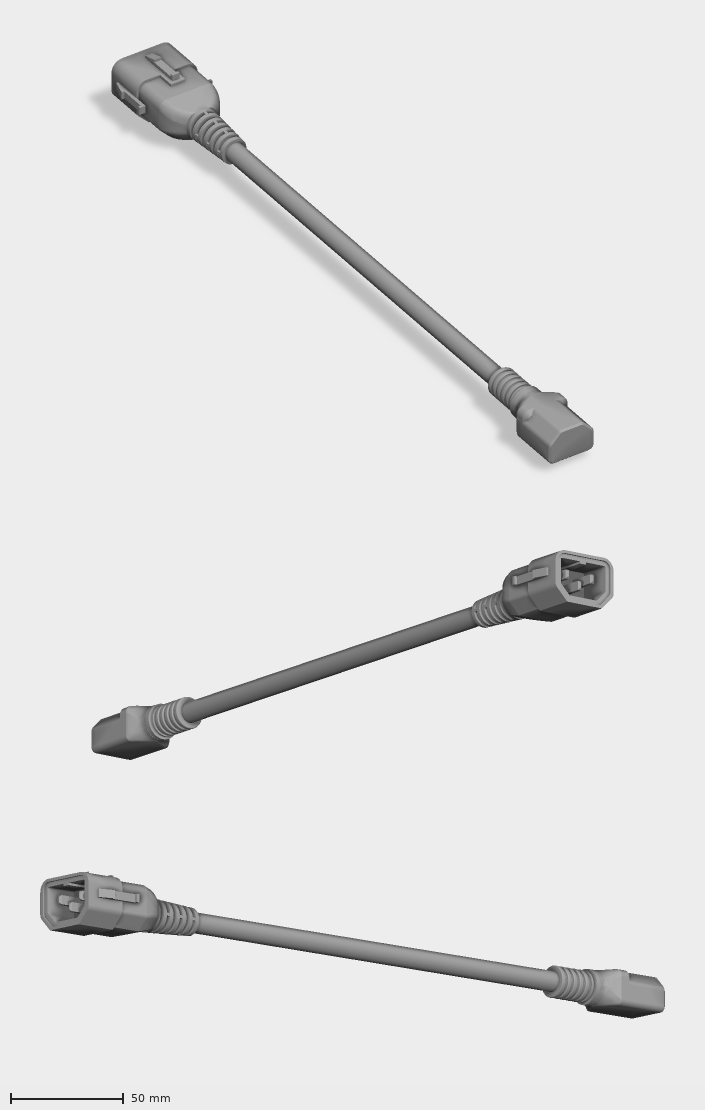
import cadquery as cq
import math

total_length = 345.0

cable_radius = 9.3 / 2

collar_length = 20.0
collar_half_width = 16.2
collar_half_height = 11.7
collar_top_radius = 5.5
collar_bottom_chamfer = 6.5
collar_bottom_radius = 3.5
body_inset = 1.5
body_end = 36.0
inlet_taper_end = 48.0
taper_steps = 4
inlet_neck_half_width = 8.0
inlet_neck_half_height = 7.2
inlet_neck_top_radius = 5.0
inlet_neck_bottom_chamfer = 5.0

tongue_end = 29.0
tongue_half_width = 3.8

cavity_half_width = 12.5
cavity_half_height = 8.3
cavity_corner_radius = 0.7
cavity_chamfer = 5.0
cavity_chamfer_radius = 1.0
cavity_depth = 16.5
mouth_margin = 2.0
mouth_depth = 1.0
mouth_corner_radius = 3.5
mouth_chamfer = 6.0
mouth_chamfer_radius = 2.8
key_half_width = 1.7
key_height = 1.0

pin_width = 2.0
pin_height = 4.0
pin_tip_x = 2.8
pin_tip_bevel = 0.85
side_pin_y = 7.0
side_pin_z = 2.0
earth_pin_z = -2.0

latch_start = 5.2
latch_peak = 12.8
latch_end = 27.3
latch_heel_length = 1.5
latch_rise = 3.0
latch_strip_rise = 1.7
latch_toe_rise = 1.0
latch_width = 3.8
side_latch_z = 2.0

relief_start_radius = 8.0
relief_end_radius = 12.8 / 2
relief_collar_length = 2.0
groove_count = 6
groove_width = 2.0
groove_pitch = 2 * groove_width
groove_root_radius = 5.2
web_half_width = 0.7
inlet_relief_end = inlet_taper_end + relief_collar_length + groove_count * groove_pitch

outlet_relief_start = 288.0
rib_count = 5
rib_pitch = 3.5
rib_width = 2.0
end_rib_width = 1.0
rib_radius = 7.2
rib_root_radius = relief_end_radius
rib_rounding = 0.5
flange_start = 307.5
flange_radius = 16.2 / 2
waist_radius = 8.0
flare_start = 310.0
flare_waist_length = 2.8
head_start = 318.8
head_half_width = 23.8 / 2
head_half_height = 8.3
head_top_radius = 3.8
head_bottom_radius = 2.5
bevel_start = 323.3
bevel_run_out = 2.0
bevel_size = 6.0
bevel_rounding = 2.8
nose_chamfer = 0.85


def box_between(x_range, y_range, z_range):
    """Axis-aligned box given by its lower and upper limits."""
    size = [high - low for low, high in (x_range, y_range, z_range)]
    return cq.Workplane("XY").box(*size, centered=False).translate((x_range[0], y_range[0], z_range[0]))


def cylinder(start, end, radius):
    """Round bar along the cord axis."""
    return cq.Workplane("YZ", origin=(start, 0, 0)).circle(radius).extrude(end - start)


def shield_outline(x, half_width, half_height, top_radius, chamfer, chamfer_radius):
    """Closed wire at x: rounded top corners, and chamfered bottom corners whose upper bend is rounded."""
    diagonal = math.sqrt(0.5)
    bend = chamfer_radius * math.tan(math.pi / 8)
    bend_centre_y = half_width - chamfer_radius
    bend_y = half_width - bend * diagonal
    bend_top_z = -half_height + chamfer + bend
    bend_low_z = -half_height + chamfer - bend * diagonal
    bend_mid = (
        bend_centre_y + chamfer_radius * math.cos(math.pi / 8),
        bend_top_z - chamfer_radius * math.sin(math.pi / 8),
    )
    flat = half_width - chamfer
    shoulder = half_width - top_radius
    top_arc_y = shoulder + top_radius * diagonal
    top_arc_z = half_height - top_radius + top_radius * diagonal
    return (
        cq.Workplane("YZ", origin=(x, 0, 0))
        .moveTo(-flat, -half_height)
        .lineTo(flat, -half_height)
        .lineTo(bend_y, bend_low_z)
        .threePointArc(bend_mid, (half_width, bend_top_z))
        .lineTo(half_width, half_height - top_radius)
        .threePointArc((top_arc_y, top_arc_z), (shoulder, half_height))
        .lineTo(-shoulder, half_height)
        .threePointArc((-top_arc_y, top_arc_z), (-half_width, half_height - top_radius))
        .lineTo(-half_width, bend_top_z)
        .threePointArc((-bend_mid[0], bend_mid[1]), (-bend_y, bend_low_z))
        .close()
        .wire()
        .val()
    )


def rounded_outline(x, half_width, half_height, top_radius, bottom_radius):
    """Closed wire at x: rectangle with rounded corners."""
    top_run = top_radius * (1 - math.sqrt(0.5))
    bottom_run = bottom_radius * (1 - math.sqrt(0.5))
    w, h = half_width, half_height
    return (
        cq.Workplane("YZ", origin=(x, 0, 0))
        .moveTo(bottom_radius - w, -h)
        .lineTo(w - bottom_radius, -h)
        .threePointArc((w - bottom_run, bottom_run - h), (w, bottom_radius - h))
        .lineTo(w, h - top_radius)
        .threePointArc((w - top_run, h - top_run), (w - top_radius, h))
        .lineTo(top_radius - w, h)
        .threePointArc((top_run - w, h - top_run), (-w, h - top_radius))
        .lineTo(-w, bottom_radius - h)
        .threePointArc((bottom_run - w, bottom_run - h), (bottom_radius - w, -h))
        .close()
        .wire()
        .val()
    )


def prism(outline, length):
    """Solid made by sweeping a closed wire along +X."""
    return cq.Workplane(cq.Solid.extrudeLinear(outline, [], cq.Vector(length, 0, 0)))


def loft(outlines):
    """Smooth solid through a row of closed wires."""
    return cq.Workplane(cq.Solid.makeLoft(outlines))


def inlet_taper_outline(body_shape, fraction):
    """Outline at a fraction of the taper: the sides narrow along an arc, everything else evenly."""
    half_width, *other_sizes = body_shape
    length = inlet_taper_end - body_end
    drop = half_width - inlet_neck_half_width
    arc_radius = (length**2 + drop**2) / (2 * drop)
    travel = fraction * length
    arc_drop = arc_radius - math.sqrt(arc_radius**2 - travel**2)
    neck_sizes = (
        inlet_neck_half_height, inlet_neck_top_radius, inlet_neck_bottom_chamfer, body_shape[-1]
    )
    sizes = [body + fraction * (neck - body) for body, neck in zip(other_sizes, neck_sizes)]
    return shield_outline(body_end + travel, half_width - arc_drop, *sizes)


def inlet_shell():
    """Collar with its rear tongue, the inset body behind it and the taper down to the neck."""
    collar = prism(
        shield_outline(0, collar_half_width, collar_half_height, collar_top_radius,
                       collar_bottom_chamfer, collar_bottom_radius),
        collar_length,
    )
    inset_bend = body_inset * math.tan(math.pi / 8)
    body_shape = (
        collar_half_width - body_inset,
        collar_half_height - body_inset,
        collar_top_radius - body_inset,
        collar_bottom_chamfer - body_inset + inset_bend,
        collar_bottom_radius - body_inset,
    )
    body = prism(shield_outline(collar_length, *body_shape), body_end - collar_length)
    sections = [
        inlet_taper_outline(body_shape, step / taper_steps) for step in range(taper_steps + 1)
    ]
    taper = loft(sections)
    tongue = box_between(
        (collar_length, tongue_end),
        (-tongue_half_width, tongue_half_width),
        (0, collar_half_height),
    )
    return collar.union(body).union(taper).union(tongue)


def inlet_cavity():
    """Contact cavity with a shallow wider mouth and a key along its top wall."""
    cavity = prism(
        shield_outline(0, cavity_half_width, cavity_half_height, cavity_corner_radius,
                       cavity_chamfer, cavity_chamfer_radius),
        cavity_depth,
    )
    mouth = prism(
        shield_outline(0, cavity_half_width + mouth_margin, cavity_half_height + mouth_margin,
                       mouth_corner_radius, mouth_chamfer, mouth_chamfer_radius),
        mouth_depth,
    )
    key = box_between(
        (mouth_depth, cavity_depth),
        (-key_half_width, key_half_width),
        (cavity_half_height - key_height, cavity_half_height),
    )
    return cavity.union(mouth).cut(key)


def contact_pin(y, z):
    """Flat blade standing on the cavity floor, with a bevelled tip."""
    pin = box_between(
        (pin_tip_x, cavity_depth),
        (y - pin_width / 2, y + pin_width / 2),
        (z - pin_height / 2, z + pin_height / 2),
    )
    return pin.faces("<X").chamfer(pin_tip_bevel)


def latch(surface):
    """Spring latch lying on a wall at height `surface`: ramp, step down to a strip, raised heel."""
    return (
        cq.Workplane("XZ")
        .moveTo(latch_start, surface)
        .lineTo(latch_start, surface + latch_toe_rise)
        .lineTo(latch_peak, surface + latch_rise)
        .lineTo(latch_peak, surface + latch_strip_rise)
        .lineTo(latch_end - latch_heel_length, surface + latch_strip_rise)
        .lineTo(latch_end - latch_heel_length, surface + latch_rise)
        .lineTo(latch_end, surface + latch_rise)
        .lineTo(latch_end, surface)
        .close()
        .extrude(latch_width / 2, both=True)
    )


def inlet_strain_relief():
    """Tapered sleeve with grooves that leave a pair of webs, alternately top and bottom or at the sides."""
    start, end = inlet_taper_end, inlet_relief_end
    sleeve = (
        cq.Workplane("XZ")
        .polyline([(start, 0), (start, relief_start_radius), (end, relief_end_radius), (end, 0)])
        .close()
        .revolve(360, (0, 0, 0), (1, 0, 0))
    )
    reach = 2 * relief_start_radius
    for index in range(groove_count):
        groove_start = inlet_taper_end + relief_collar_length + index * groove_pitch
        groove_end = groove_start + groove_width
        ring = cylinder(groove_start, groove_end, reach).cut(
            cylinder(groove_start, groove_end, groove_root_radius)
        )
        across = (-web_half_width, web_half_width)
        along = (-reach, reach)
        web_y, web_z = (across, along) if index % 2 == 0 else (along, across)
        sleeve = sleeve.cut(ring.cut(box_between((groove_start, groove_end), web_y, web_z)))
    return sleeve


def make_inlet_plug():
    plug = inlet_shell().cut(inlet_cavity())
    for y, z in ((-side_pin_y, side_pin_z), (side_pin_y, side_pin_z), (0, earth_pin_z)):
        plug = plug.union(contact_pin(y, z))
    plug = plug.union(latch(collar_half_height))
    for turn in (-90, 90):
        side_latch = latch(collar_half_width).rotate((0, 0, 0), (1, 0, 0), turn)
        plug = plug.union(side_latch.translate((0, 0, side_latch_z)))
    return plug.union(inlet_strain_relief())


def make_cable():
    return cylinder(inlet_relief_end, outlet_relief_start, cable_radius)


def outlet_strain_relief():
    """Sleeve with rounded ribs, a narrow last rib and a flange against the flare."""
    relief = cylinder(outlet_relief_start, flare_start, rib_root_radius)
    relief = relief.union(cylinder(flange_start, flare_start, flange_radius))
    for index in range(rib_count):
        rib_start = outlet_relief_start + index * rib_pitch
        rib = cylinder(rib_start, rib_start + rib_width, rib_radius).edges().fillet(rib_rounding)
        relief = relief.union(rib)
    end_rib_start = outlet_relief_start + rib_count * rib_pitch
    return relief.union(cylinder(end_rib_start, end_rib_start + end_rib_width, rib_radius))


def outlet_head():
    """Flare from the round flange to a rounded block, which runs out in a slope over the bevels."""
    head_shape = (head_half_width, head_half_height, head_top_radius, head_bottom_radius)
    waist_shape = (flange_radius, flange_radius, waist_radius, waist_radius)
    middle_shape = [(waist + head) / 2 for waist, head in zip(waist_shape, head_shape)]
    waist_end = flare_start + flare_waist_length
    flare = loft([
        rounded_outline(flare_start, *waist_shape),
        rounded_outline(waist_end, *waist_shape),
        rounded_outline((waist_end + head_start) / 2, *middle_shape),
        rounded_outline(head_start, *head_shape),
    ])
    block = prism(rounded_outline(head_start, *head_shape), bevel_start + bevel_run_out - head_start)
    return flare.union(block.faces(">X").chamfer(bevel_run_out))


def outlet_nose():
    """Front of the head with bevelled top corners."""
    nose = (
        box_between(
            (bevel_start, total_length),
            (-head_half_width, head_half_width),
            (-head_half_height, head_half_height),
        )
        .edges("|X and >Z").chamfer(bevel_size)
        .edges("|X and (not <Z)").fillet(bevel_rounding)
        .edges("|X and <Z").fillet(head_bottom_radius)
    )
    return nose.faces(">X").chamfer(nose_chamfer)


def make_outlet_plug():
    return outlet_strain_relief().union(outlet_head()).union(outlet_nose())


inlet_plug = make_inlet_plug()
cable = make_cable()
outlet_plug = make_outlet_plug()
result = cq.Compound.makeCompound([inlet_plug.val(), cable.val(), outlet_plug.val()])